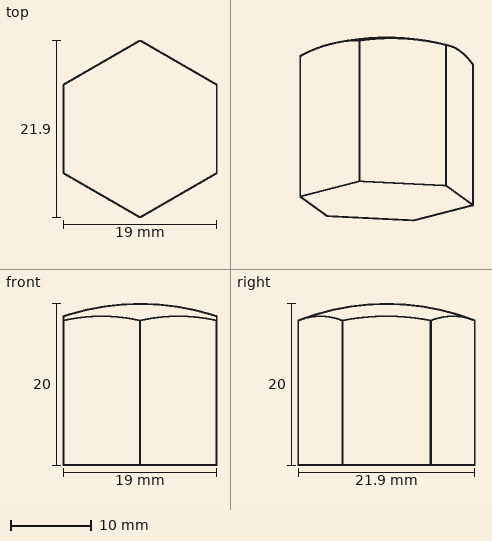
import cadquery as cq
import math

across_flats = 19.0
corner_diameter = 21.9
height = 20.0
dome_radius = 30.0

corner_radius = corner_diameter / 2
dome_drop = dome_radius - math.sqrt(dome_radius**2 - corner_radius**2)
edge_height = height - dome_drop


def hexagonal_prism():
    """Hexagon with two flats facing +X and -X and corners on the Y axis."""
    sharp_corner_diameter = across_flats / math.cos(math.pi / 6)
    return (
        cq.Workplane("XY")
        .polygon(6, sharp_corner_diameter)
        .extrude(height)
        .rotate((0, 0, 0), (0, 0, 1), 90)
    )


def domed_blank():
    """Turned cylinder with a spherical crown, revolved about the Z axis."""
    arc_mid_radius = corner_radius / 2
    arc_mid_height = height - dome_radius + math.sqrt(dome_radius**2 - arc_mid_radius**2)
    return (
        cq.Workplane("XZ")
        .lineTo(corner_radius, 0)
        .lineTo(corner_radius, edge_height)
        .threePointArc((arc_mid_radius, arc_mid_height), (0, height))
        .close()
        .revolve(360, (0, 0, 0), (0, 1, 0))
    )


result = hexagonal_prism().intersect(domed_blank())